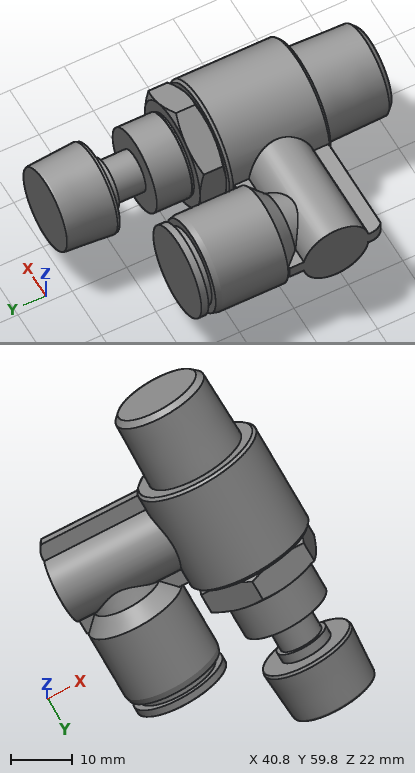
import cadquery as cq
import math

BODY_DIAMETER = 22.0
BODY_START = 13.0
BODY_END = 31.55
BODY_CHAMFER = 0.5

THREAD_BASE_DIAMETER = 17.05
THREAD_END_DIAMETER = 16.4
THREAD_CHAMFER = 0.95

HEX_ACROSS_FLATS = 18.95
HEX_END = 36.4
HEX_CHAMFER_LENGTH = 0.65

CAP_DIAMETER = 15.2
CAP_START = 36.8
CAP_END = 43.35
CAP_NECK_DIAMETER = 14.8
STEM_DIAMETER = 7.6
STEM_END = 48.6
COLLAR_DIAMETER = 9.1

KNOB_START = 50.35
KNOB_END = 59.8
KNOB_BASE_DIAMETER = 16.4
KNOB_TOP_DIAMETER = 15.2
KNOB_BASE_CHAMFER = 0.55
KNOB_BASE_INSET = 0.2
KNOB_TOP_CHAMFER = 0.35
KNOB_TOP_INSET = 0.1

TOTAL_WIDTH = 40.75
ARM_END_X = BODY_DIAMETER / 2 - TOTAL_WIDTH
ARM_DIAMETER = 12.1
ARM_Y = 22.3

RIB_THICKNESS = 2.35
RIB_BOTTOM = 13.55
RIB_TOP = 30.85
RIB_CORNER_WIDTH = 1.0
RIB_CORNER_HEIGHT = 2.35

PORT_DIAMETER = 17.3
PORT_X = -21.05
PORT_TIP_DIAMETER = 10.0
PORT_TIP_Y = 24.6
PORT_CONE_DIAMETER = 12.1
PORT_CONE_START = 28.35
PORT_CYLINDER_START = 31.1
PORT_SHOULDER_START = 43.15
PORT_SHOULDER_END = 44.25
PORT_SHOULDER_DIAMETER = 16.75
RING_NECK_DIAMETER = 14.0
RING_DIAMETER = 16.5
RING_START = 45.5
RING_END = 46.8


def turned(profile, axis_x=0):
    """Revolve (diameter, y) points around the line X = axis_x parallel to Y."""
    outline = [(0, profile[0][1])]
    outline += [(diameter / 2, y) for diameter, y in profile]
    outline.append((0, profile[-1][1]))
    solid = cq.Workplane("XY").polyline(outline).close().revolve(360, (0, 0), (0, 1))
    return solid.translate((axis_x, 0, 0))


def make_body():
    """Tapered thread and the chamfered cylinder above it."""
    chamfered = BODY_DIAMETER - 2 * BODY_CHAMFER
    return turned([
        (THREAD_END_DIAMETER - 2 * THREAD_CHAMFER, 0),
        (THREAD_END_DIAMETER, THREAD_CHAMFER),
        (THREAD_BASE_DIAMETER, BODY_START),
        (chamfered, BODY_START),
        (BODY_DIAMETER, BODY_START + BODY_CHAMFER),
        (BODY_DIAMETER, BODY_END - BODY_CHAMFER),
        (chamfered, BODY_END),
    ])


def make_hex():
    """Hexagon with corners on +Z and -Z and conical chamfers on both faces."""
    across_corners = HEX_ACROSS_FLATS / math.cos(math.radians(30))
    prism = (
        cq.Workplane("XY")
        .polygon(6, across_corners)
        .extrude(HEX_END - BODY_END)
        .rotate((0, 0, 0), (0, 0, 1), 30)
        .rotate((0, 0, 0), (1, 0, 0), -90)
        .translate((0, BODY_END, 0))
    )
    envelope = turned([
        (HEX_ACROSS_FLATS, BODY_END),
        (across_corners, BODY_END + HEX_CHAMFER_LENGTH),
        (across_corners, HEX_END - HEX_CHAMFER_LENGTH),
        (HEX_ACROSS_FLATS, HEX_END),
    ])
    return prism.intersect(envelope)


def make_adjuster():
    """Cap, stem, collar and tapered knob above the hexagon."""
    return turned([
        (CAP_NECK_DIAMETER, HEX_END),
        (CAP_NECK_DIAMETER, CAP_START),
        (CAP_DIAMETER, CAP_START),
        (CAP_DIAMETER, CAP_END),
        (STEM_DIAMETER, CAP_END),
        (STEM_DIAMETER, STEM_END),
        (COLLAR_DIAMETER, STEM_END),
        (COLLAR_DIAMETER, KNOB_START),
        (KNOB_BASE_DIAMETER - 2 * KNOB_BASE_INSET, KNOB_START),
        (KNOB_BASE_DIAMETER, KNOB_START + KNOB_BASE_CHAMFER),
        (KNOB_TOP_DIAMETER, KNOB_END - KNOB_TOP_CHAMFER),
        (KNOB_TOP_DIAMETER - 2 * KNOB_TOP_INSET, KNOB_END),
    ])


def make_arm():
    """Round side arm from its free end to the main axis."""
    return (
        cq.Workplane("YZ", origin=(ARM_END_X, 0, 0))
        .center(ARM_Y, 0)
        .circle(ARM_DIAMETER / 2)
        .extrude(-ARM_END_X)
    )


def make_rib():
    """Flat web along the arm, with a rounded lower outer corner."""
    radius = (RIB_CORNER_WIDTH**2 + RIB_CORNER_HEIGHT**2) / (2 * RIB_CORNER_WIDTH)
    half_sweep = math.asin(RIB_CORNER_HEIGHT / radius) / 2
    arc_start_y = RIB_BOTTOM + RIB_CORNER_HEIGHT
    arc_middle = (
        ARM_END_X + radius * (1 - math.cos(half_sweep)),
        arc_start_y - radius * math.sin(half_sweep),
    )
    return (
        cq.Workplane("XY")
        .moveTo(0, RIB_TOP)
        .lineTo(ARM_END_X, RIB_TOP)
        .lineTo(ARM_END_X, arc_start_y)
        .threePointArc(arc_middle, (ARM_END_X + RIB_CORNER_WIDTH, RIB_BOTTOM))
        .lineTo(0, RIB_BOTTOM)
        .close()
        .extrude(RIB_THICKNESS / 2, both=True)
    )


def make_port():
    """Tube port rising from the arm parallel to the main axis."""
    return turned([
        (PORT_TIP_DIAMETER, PORT_TIP_Y),
        (PORT_CONE_DIAMETER, PORT_CONE_START),
        (PORT_DIAMETER, PORT_CYLINDER_START),
        (PORT_DIAMETER, PORT_SHOULDER_START),
        (PORT_SHOULDER_DIAMETER, PORT_SHOULDER_END),
        (RING_NECK_DIAMETER, PORT_SHOULDER_END),
        (RING_NECK_DIAMETER, RING_START),
        (RING_DIAMETER, RING_START),
        (RING_DIAMETER, RING_END),
    ], PORT_X)


result = make_body()
for feature in (make_hex(), make_adjuster(), make_arm(), make_rib(), make_port()):
    result = result.union(feature)